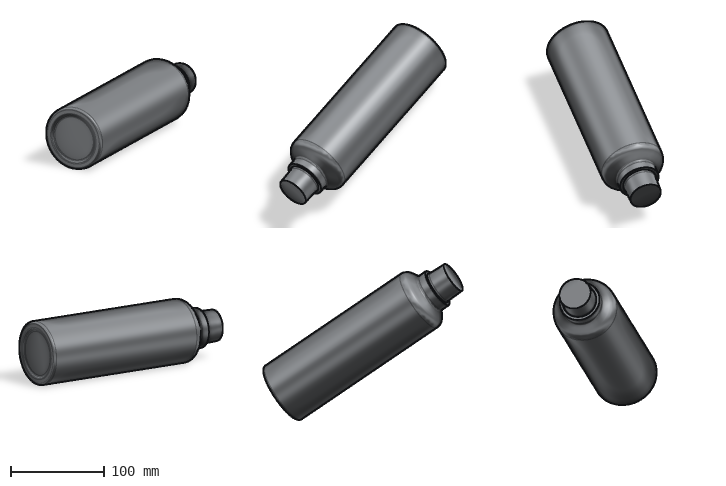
import cadquery as cq
import math

total_length = 230.0
body_diameter = 69.7
body_radius = body_diameter / 2
base_round = 2.5
shoulder_start = 184.0

collar_radius = 22.0
collar_start = 200.0
collar_end = 208.8
collar_bevel_length = 1.2
collar_bevel_depth = 0.2

cap_start = 211.1
cap_foot_radius = 18.5
cap_base_radius = 18.0
cap_top_radius = 17.2

recess_rim_radius = 28.3
recess_floor_radius = 24.0
recess_blend_radius = 2.8
recess_wall_angle = math.radians(30)

shoulder_round_radius = 31.5
shoulder_round = 191.5
shoulder_flare_radius = 24.0
shoulder_flare = 196.6


def make_body():
    """Revolve the outer half profile, given as radius and height, about the axis."""
    profile = (
        cq.Workplane("XY")
        .lineTo(body_radius - base_round, 0)
        .radiusArc((body_radius, base_round), -base_round)
        .lineTo(body_radius, shoulder_start)
        .spline(
            [
                (shoulder_round_radius, shoulder_round),
                (shoulder_flare_radius, shoulder_flare),
                (collar_radius, collar_start),
            ],
            tangents=[(0, 1), (0, 1)],
            includeCurrent=True,
        )
        .lineTo(collar_radius, collar_end - collar_bevel_length)
        .lineTo(collar_radius - collar_bevel_depth, collar_end)
        .lineTo(cap_foot_radius, collar_end)
        .lineTo(cap_base_radius, cap_start)
        .lineTo(cap_top_radius, total_length)
        .lineTo(0, total_length)
        .close()
    )
    return profile.revolve(360, (0, 0), (0, 1))


def make_base_recess():
    """Revolve the dish that is sunk into the base."""
    blend_width = recess_blend_radius * math.sin(recess_wall_angle)
    blend_height = recess_blend_radius * (1 - math.cos(recess_wall_angle))
    wall_outer = recess_rim_radius - blend_width
    wall_inner = recess_floor_radius + blend_width
    wall_height = (wall_outer - wall_inner) * math.tan(recess_wall_angle)
    wall_top = blend_height + wall_height
    recess_depth = wall_top + blend_height
    profile = (
        cq.Workplane("XY")
        .lineTo(recess_rim_radius, 0)
        .radiusArc((wall_outer, blend_height), recess_blend_radius)
        .lineTo(wall_inner, wall_top)
        .radiusArc((recess_floor_radius, recess_depth), -recess_blend_radius)
        .lineTo(0, recess_depth)
        .close()
    )
    return profile.revolve(360, (0, 0), (0, 1))


result = make_body().cut(make_base_recess())